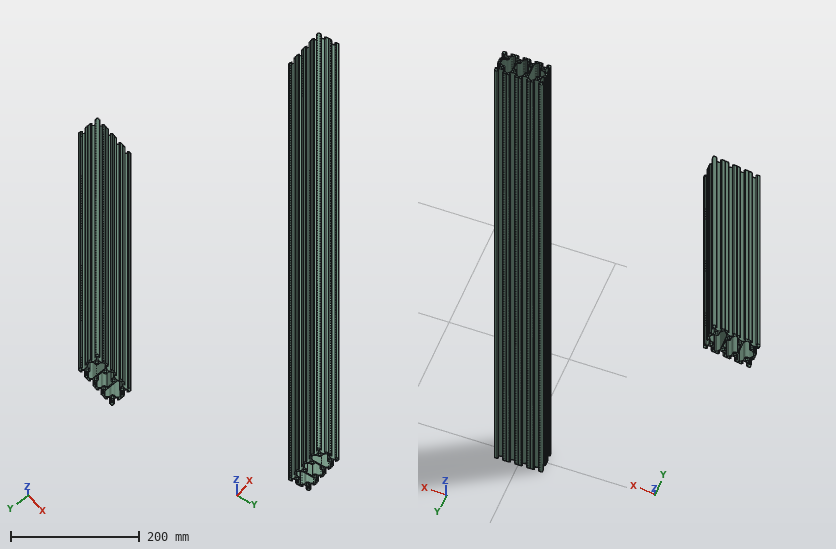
import cadquery as cq
import math

LENGTH = 1000.0
PITCH = 20.0
COLUMNS = 4
ROWS = 2
WIDTH = COLUMNS * PITCH
DEPTH = ROWS * PITCH
CORNER_RADIUS = 1.5

BORE_DIAMETER = 4.2
CORE_HALF = 4.0
CORE_RADIUS = 3.5
LIP_THICKNESS = 1.8
RIB_THICKNESS = 1.8
SKIN_THICKNESS = 2.5
WEB_THICKNESS = 1.8
RIB_OFFSET = RIB_THICKNESS / math.sqrt(2)

MOUTH_HALF = 4.75
THROAT_HALF = 3.1
FLARE_DEPTH = MOUTH_HALF - THROAT_HALF
CHAMBER_HALF = 5.5
FLOOR_DEPTH = PITCH / 2 - CORE_HALF
FLOOR_HALF = CORE_HALF - RIB_OFFSET
FLOOR_RADIUS = 2.0
TAPER_START = FLOOR_DEPTH - (CHAMBER_HALF - FLOOR_HALF)

GROOVE_WIDTH = 1.0
GROOVE_DEPTH = 0.25

HOLLOW_HALF = PITCH / 2 - CORE_HALF
HOLLOW_END = PITCH - SKIN_THICKNESS
HOLLOW_END_HALF = SKIN_THICKNESS - RIB_OFFSET
SHOULDER = HOLLOW_END - (HOLLOW_HALF - HOLLOW_END_HALF)
SHOULDER_RADIUS = 1.0
MIDDLE_HALF = PITCH - HOLLOW_HALF - WEB_THICKNESS


def cell_centres(count):
    """Centre positions of a row of cells, measured from the middle of the row."""
    return [(i - (count - 1) / 2) * PITCH for i in range(count)]


def turn(body, angle):
    """Turn a body about the Z axis."""
    return body.rotate((0, 0, 0), (0, 0, 1), angle)


def symmetric_prism(right_points):
    """Full-length prism from the right half of an outline mirrored across the Y axis."""
    left_points = [(-x, y) for x, y in reversed(right_points)]
    return cq.Workplane("XY").polyline(right_points + left_points).close().extrude(LENGTH)


def round_edges(body, points, radius):
    """Fillet the lengthwise edges that pass through the given outline points."""
    for x, y in points:
        body = body.edges(cq.NearestToPointSelector((x, y, LENGTH / 2))).fillet(radius)
    return body


def v_slot():
    """Slot centred on the Y axis, opening at y = 0 and running towards +Y."""
    slot = symmetric_prism([
        (MOUTH_HALF, 0),
        (THROAT_HALF, FLARE_DEPTH),
        (THROAT_HALF, LIP_THICKNESS),
        (CHAMBER_HALF, LIP_THICKNESS),
        (CHAMBER_HALF, TAPER_START),
        (FLOOR_HALF, FLOOR_DEPTH),
    ])
    floor_corners = [(side * FLOOR_HALF, FLOOR_DEPTH) for side in (-1, 1)]
    return round_edges(slot, floor_corners, FLOOR_RADIUS)


def marking_groove():
    """Square groove centred on the Y axis, opening at y = 0."""
    return symmetric_prism([(GROOVE_WIDTH / 2, 0), (GROOVE_WIDTH / 2, GROOVE_DEPTH)])


def hollow_arm(angle):
    """Arm of a hollow, running from the origin along -Y turned by angle about Z."""
    arm = symmetric_prism([
        (HOLLOW_HALF, 0),
        (HOLLOW_HALF, -SHOULDER),
        (HOLLOW_END_HALF, -HOLLOW_END),
    ])
    shoulders = [(side * HOLLOW_HALF, -SHOULDER) for side in (-1, 1)]
    return turn(round_edges(arm, shoulders, SHOULDER_RADIUS), angle)


def middle_hollow():
    """Cross-shaped hollow on the bar axis, with all four core corners rounded."""
    side_arms = cq.Workplane("XY").rect(2 * MIDDLE_HALF, 2 * HOLLOW_HALF).extrude(LENGTH)
    cross = hollow_arm(0).union(hollow_arm(180)).union(side_arms)
    core_corners = [(i * HOLLOW_HALF, j * HOLLOW_HALF) for i in (-1, 1) for j in (-1, 1)]
    return round_edges(cross, core_corners, CORE_RADIUS)


def left_hollow():
    """T-shaped hollow whose side arm reaches towards -X, with both core corners rounded."""
    tee = hollow_arm(0).union(hollow_arm(180)).union(hollow_arm(-90))
    core_corners = [(-HOLLOW_HALF, side * HOLLOW_HALF) for side in (-1, 1)]
    return round_edges(tee, core_corners, CORE_RADIUS).translate((-PITCH, 0, 0))


def cut_face(body, angle, distance, slot_count):
    """Cut the slots and marking grooves of the face found at -Y turned by angle about Z."""
    cutters = [v_slot().translate((x, -distance, 0)) for x in cell_centres(slot_count)]
    for x in cell_centres(slot_count - 1):
        cutters.append(marking_groove().translate((x, -distance, 0)))
    for cutter in cutters:
        body = body.cut(turn(cutter, angle))
    return body


profile = cq.Workplane("XY").rect(WIDTH, DEPTH).extrude(LENGTH).edges("|Z").fillet(CORNER_RADIUS)

for angle in (0, 180):
    profile = cut_face(profile, angle, DEPTH / 2, COLUMNS)
for angle in (90, 270):
    profile = cut_face(profile, angle, WIDTH / 2, ROWS)

bore_centres = [(x, y) for x in cell_centres(COLUMNS) for y in cell_centres(ROWS)]
bores = cq.Workplane("XY").pushPoints(bore_centres).circle(BORE_DIAMETER / 2).extrude(LENGTH)
profile = profile.cut(bores)

profile = profile.cut(middle_hollow())
profile = profile.cut(left_hollow())
profile = profile.cut(left_hollow().mirror("YZ"))

result = profile